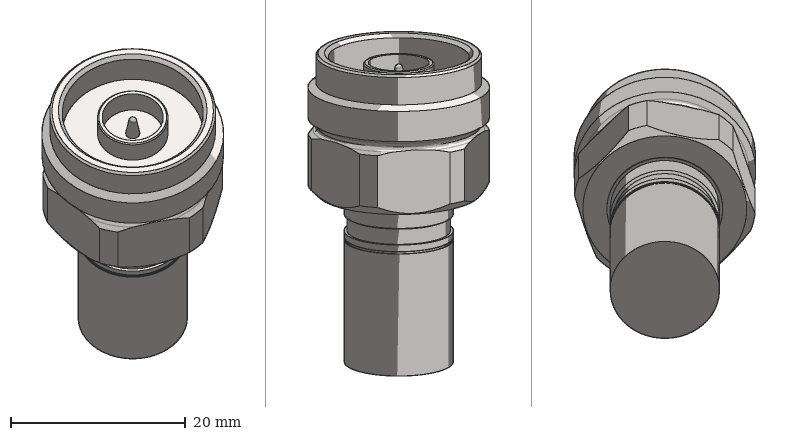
import cadquery as cq
import math

length = 36.6
flange_radius = 10.4

body_radius = 6.25
nick_radius = 6.15
nick_bottom = 14.5
nick_top = 14.75
groove_radius = 5.93
groove_bottom = 15.55
groove_top = 17.35
groove_cone_angle = 30
washer_radius = 6.62
washer_height = 0.1

nut_across_flats = 19.0
nut_bottom = 20.05
nut_corner_top = 27.23
nut_bottom_radius = 9.37
nut_top_radius = 9.8
nut_bottom_chamfer_angle = 45
nut_top_chamfer_angle = 30

neck_radius = 9.37
neck_fillet = 0.62

flange_bottom = 29.0
flange_top = 32.57
flange_cone_angle = 30
sleeve_radius = 9.48
rim_chamfer = 0.25

socket_floor = 32.6
socket_radius = 8.05
socket_mouth_radius = 8.5
socket_chamfer = socket_mouth_radius - socket_radius

contact_top = 35.45
contact_radius = 4.03
contact_bore_radius = 3.48
contact_chamfer = 0.15
pin_top = 35.3
pin_base_radius = 0.8
pin_tip_radius = 0.45
pin_dome_height = 0.35


def rise(start_radius, end_radius, angle):
    """Height of a cone between two radii, its wall at the angle above horizontal."""
    return abs(end_radius - start_radius) * math.tan(math.radians(angle))


def revolve_about_z(outline):
    """Solid of revolution from an open (radius, height) outline."""
    return outline.close().revolve(360, (0, 0), (0, 1))


def turn(points):
    """Solid of revolution from straight lines through (radius, height) points."""
    return revolve_about_z(cq.Workplane("XZ").polyline(points))


def neck_arc_radius(depth, height):
    """Radius of an arc of this depth and height that is vertical at its deepest end."""
    return (depth**2 + height**2) / (2 * depth)


cone_angle = math.radians(flange_cone_angle)
cone_start_radius = neck_radius + neck_fillet * (1 - math.sin(cone_angle))
cone_start_height = flange_bottom - rise(cone_start_radius, flange_radius, flange_cone_angle)
neck_height = cone_start_height - neck_fillet * math.cos(cone_angle)


def make_body():
    washer_bottom = nut_bottom - washer_height
    groove_cone = rise(groove_radius, body_radius, groove_cone_angle)
    return turn([
        (0, 0),
        (body_radius, 0),
        (body_radius, nick_bottom),
        (nick_radius, nick_bottom),
        (nick_radius, nick_top),
        (body_radius, nick_top),
        (body_radius, groove_bottom),
        (groove_radius, groove_bottom),
        (groove_radius, groove_top),
        (body_radius, groove_top + groove_cone),
        (body_radius, washer_bottom),
        (washer_radius, washer_bottom),
        (washer_radius, nut_bottom),
        (0, nut_bottom),
    ])


def make_nut():
    across_corners = nut_across_flats / math.cos(math.radians(30))
    hexagon = (
        cq.Workplane("XY", origin=(0, 0, nut_bottom))
        .transformed(rotate=(0, 0, 30))
        .polygon(6, across_corners)
        .extrude(neck_height - nut_bottom)
    )
    bottom_rise = rise(nut_bottom_radius, flange_radius, nut_bottom_chamfer_angle)
    top_rise = rise(nut_top_radius, flange_radius, nut_top_chamfer_angle)
    nut_top = nut_corner_top + top_rise
    nut_fillet = neck_arc_radius(nut_top_radius - neck_radius, neck_height - nut_top)
    turned_envelope = revolve_about_z(
        cq.Workplane("XZ")
        .moveTo(0, neck_height)
        .lineTo(neck_radius, neck_height)
        .radiusArc((nut_top_radius, nut_top), -nut_fillet)
        .lineTo(flange_radius, nut_corner_top)
        .lineTo(flange_radius, nut_bottom + bottom_rise)
        .lineTo(nut_bottom_radius, nut_bottom)
        .lineTo(0, nut_bottom)
    )
    return hexagon.intersect(turned_envelope)


def make_sleeve():
    upper_cone = rise(sleeve_radius, flange_radius, flange_cone_angle)
    return revolve_about_z(
        cq.Workplane("XZ")
        .moveTo(0, neck_height)
        .lineTo(neck_radius, neck_height)
        .radiusArc((cone_start_radius, cone_start_height), neck_fillet)
        .lineTo(flange_radius, flange_bottom)
        .lineTo(flange_radius, flange_top)
        .lineTo(sleeve_radius, flange_top + upper_cone)
        .lineTo(sleeve_radius, length - rim_chamfer)
        .lineTo(sleeve_radius - rim_chamfer, length)
        .lineTo(socket_mouth_radius, length)
        .lineTo(socket_radius, length - socket_chamfer)
        .lineTo(socket_radius, socket_floor)
        .lineTo(0, socket_floor)
    )


def make_contact_ring():
    return turn([
        (contact_bore_radius, socket_floor),
        (contact_radius, socket_floor),
        (contact_radius, contact_top - contact_chamfer),
        (contact_radius - contact_chamfer, contact_top),
        (contact_bore_radius, contact_top),
    ])


def make_pin():
    dome_radius = (pin_tip_radius**2 + pin_dome_height**2) / (2 * pin_dome_height)
    return revolve_about_z(
        cq.Workplane("XZ")
        .moveTo(0, socket_floor)
        .lineTo(pin_base_radius, socket_floor)
        .lineTo(pin_tip_radius, pin_top - pin_dome_height)
        .radiusArc((0, pin_top), -dome_radius)
    )


result = (
    make_body()
    .union(make_nut())
    .union(make_sleeve())
    .union(make_contact_ring())
    .union(make_pin())
)